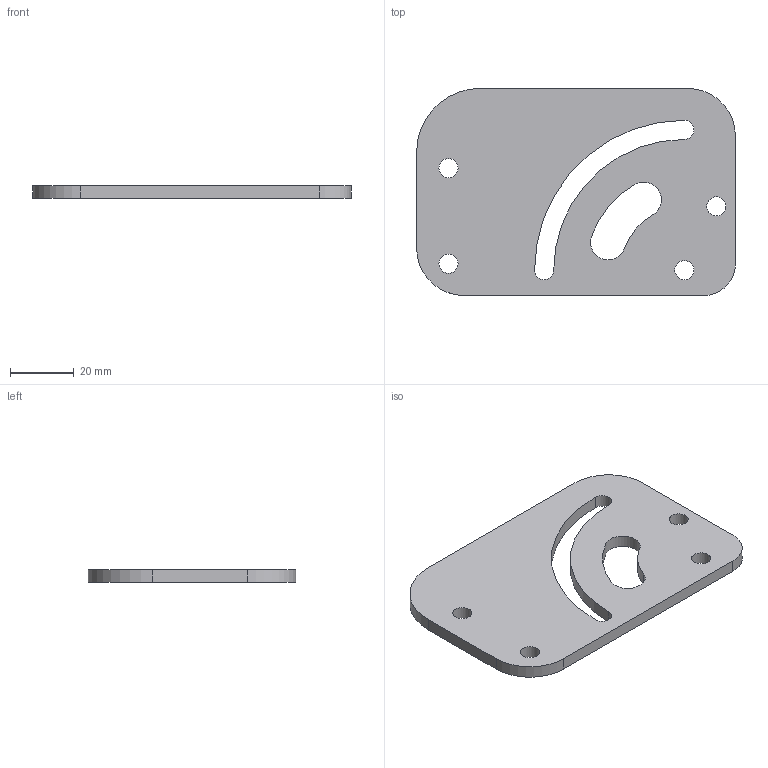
import cadquery as cq
import math

length = 100.0
width = 65.0
thickness = 4.0
radius_front_left = 15.0
radius_front_right = 10.0
radius_back_left = 20.0
radius_back_right = 15.0

hole_diameter = 6.0
pivot = (84.0, 8.0)
hole_centers = [(10.0, 10.0), (10.0, 40.0), (94.0, 28.0), pivot]

long_slot_radius = 44.0
long_slot_width = 6.0
long_slot_angles = (90.0, 180.0)
short_slot_radius = 25.5
short_slot_width = 11.0
short_slot_angles = (120.0, 160.0)


def around_pivot(radius, angle):
    """Point at a given radius and angle from the pivot."""
    a = math.radians(angle)
    return (pivot[0] + radius * math.cos(a), pivot[1] + radius * math.sin(a))


def make_plate():
    """Rectangular plate with its own radius at each corner."""
    corners = [
        ((0, 0), radius_front_left),
        ((length, 0), radius_front_right),
        ((0, width), radius_back_left),
        ((length, width), radius_back_right),
    ]
    plate = cq.Workplane("XY").box(length, width, thickness, centered=False)
    for (x, y), radius in corners:
        corner_edge = cq.selectors.NearestToPointSelector((x, y, thickness / 2))
        plate = plate.edges("|Z").edges(corner_edge).fillet(radius)
    return plate


def curved_slot(radius, slot_width, angles):
    """Cutter for a round-ended slot that follows an arc about the pivot."""
    start, end = angles
    middle = (start + end) / 2
    inner = radius - slot_width / 2
    outer = radius + slot_width / 2
    tip_radius = math.hypot(radius, slot_width / 2)
    tip_angle = math.degrees(math.atan2(slot_width / 2, radius))
    return (
        cq.Workplane("XY")
        .moveTo(*around_pivot(outer, start))
        .threePointArc(around_pivot(outer, middle), around_pivot(outer, end))
        .threePointArc(around_pivot(tip_radius, end + tip_angle), around_pivot(inner, end))
        .threePointArc(around_pivot(inner, middle), around_pivot(inner, start))
        .threePointArc(around_pivot(tip_radius, start - tip_angle), around_pivot(outer, start))
        .close()
        .extrude(thickness)
    )


def round_holes():
    """Cutters for all the round through holes."""
    return cq.Workplane("XY").pushPoints(hole_centers).circle(hole_diameter / 2).extrude(thickness)


result = (
    make_plate()
    .cut(round_holes())
    .cut(curved_slot(long_slot_radius, long_slot_width, long_slot_angles))
    .cut(curved_slot(short_slot_radius, short_slot_width, short_slot_angles))
)